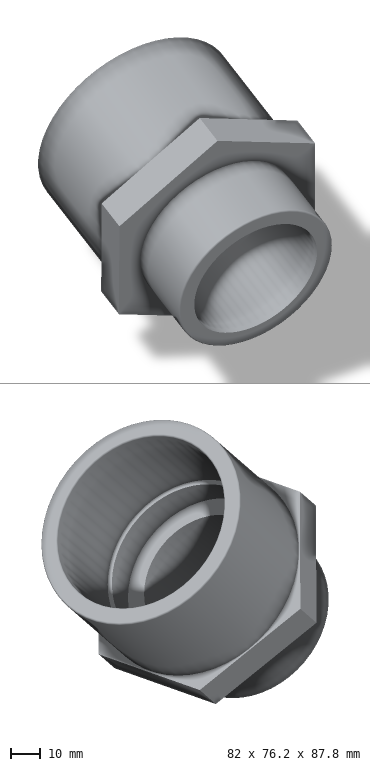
import cadquery as cq
import math

socket_body_length = 44.0
collar_width = 12.0
spigot_length = 26.0
collar_start = socket_body_length
collar_end = collar_start + collar_width
total_length = collar_end + spigot_length

socket_body_diameter = 75.0
spigot_diameter = 59.61
hex_across_flats = 76.0
hex_twist = -0.21

socket_diameter = 63.0
socket_depth = 38.0
relief_diameter = 59.85
shelf_position = (collar_start + collar_end) / 2
through_bore_diameter = 47.69

rim_radius = 0.63


def cylinder_x(diameter, start, end):
    """Solid cylinder along X between two stations."""
    return cq.Workplane("YZ", origin=(start, 0, 0)).circle(diameter / 2).extrude(end - start)


def round_end_edges(body, end_face):
    """Round every circular edge of one end face."""
    return body.faces(end_face).edges().fillet(rim_radius)


def make_collar():
    """Hexagonal wrench collar with its corners close to the Z direction."""
    across_corners = hex_across_flats / math.cos(math.pi / 6)
    corner_angle = 90 + hex_twist
    return (
        cq.Workplane("YZ", origin=(collar_start, 0, 0))
        .transformed(rotate=(0, 0, corner_angle))
        .polygon(6, across_corners)
        .extrude(collar_width)
    )


def make_socket_body():
    """Large end with the socket recess, rounded at both edges of its mouth."""
    body = cylinder_x(socket_body_diameter, 0, collar_start)
    body = body.cut(cylinder_x(socket_diameter, 0, socket_depth))
    return round_end_edges(body, "<X")


def make_spigot():
    """Small end, rounded at its outer rim."""
    return round_end_edges(cylinder_x(spigot_diameter, collar_end, total_length), ">X")


def cut_inner_bores(body):
    """Relief bore behind the socket, then the through bore beyond the shelf."""
    body = body.cut(cylinder_x(relief_diameter, socket_depth, shelf_position))
    return body.cut(cylinder_x(through_bore_diameter, shelf_position, total_length))


result = cut_inner_bores(make_socket_body().union(make_collar()).union(make_spigot()))